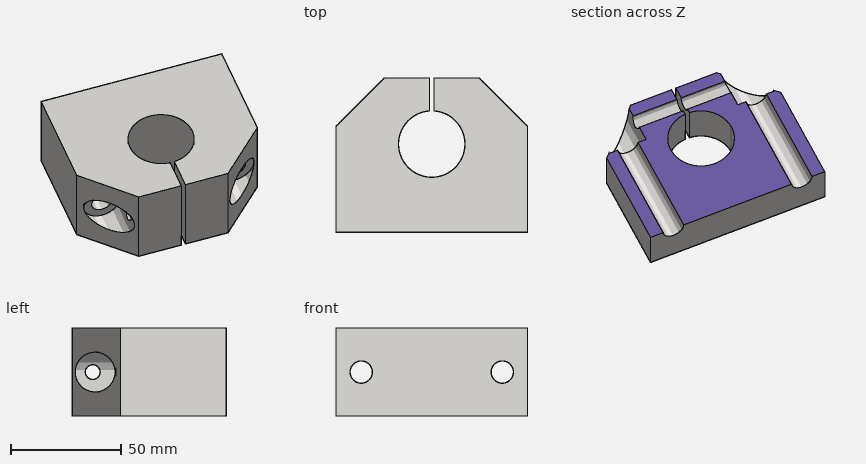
import cadquery as cq

WIDTH = 87.0
DEPTH = 70.0
HEIGHT = 40.0
CORNER_CUT = 22.0

BORE_DIAMETER = 30.0
BORE_TO_BACK = 30.0
SLIT_WIDTH = 2.0

MOUNT_DIAMETER = 10.0
MOUNT_SPACING = 63.95
COUNTERBORE_DIAMETER = 18.0
COUNTERBORE_TO_BACK = 20.0

CLAMP_DIAMETER = 6.6
CLAMP_TO_BACK = 9.4

half_width = WIDTH / 2
bore_y = DEPTH - BORE_TO_BACK
mount_x = MOUNT_SPACING / 2


def make_block():
    """Rectangular block with both back corners cut off at 45 degrees."""
    block = cq.Workplane("XY").box(WIDTH, DEPTH, HEIGHT, centered=(True, False, True))
    return block.edges("|Z and >Y").chamfer(CORNER_CUT)


def cylinder_to_back(diameter, x, start_y):
    """Cylinder parallel to Y at half height, from start_y to the back face."""
    start = cq.Vector(x, start_y, 0)
    along_y = cq.Vector(0, 1, 0)
    return cq.Workplane(cq.Solid.makeCylinder(diameter / 2, DEPTH - start_y, start, along_y))


def make_mounting_hole(x):
    """Through hole along Y with a flat counterbore entering from the sloped corner."""
    hole = cylinder_to_back(MOUNT_DIAMETER, x, 0)
    return hole.union(cylinder_to_back(COUNTERBORE_DIAMETER, x, DEPTH - COUNTERBORE_TO_BACK))


def make_bore_and_slit():
    """Shaft bore and the slit that opens it to the back face."""
    bore = cq.Workplane("XY").center(0, bore_y).circle(BORE_DIAMETER / 2).extrude(HEIGHT / 2, both=True)
    slit = (
        cq.Workplane("XY")
        .box(SLIT_WIDTH, BORE_TO_BACK, HEIGHT, centered=(True, False, True))
        .translate((0, bore_y, 0))
    )
    return bore.union(slit)


def make_clamp_hole():
    """Screw hole running across the whole width behind the bore."""
    hole = cq.Workplane("YZ").center(DEPTH - CLAMP_TO_BACK, 0).circle(CLAMP_DIAMETER / 2)
    return hole.extrude(half_width, both=True)


result = make_block().cut(make_bore_and_slit()).cut(make_clamp_hole())

for x in (-mount_x, mount_x):
    result = result.cut(make_mounting_hole(x))